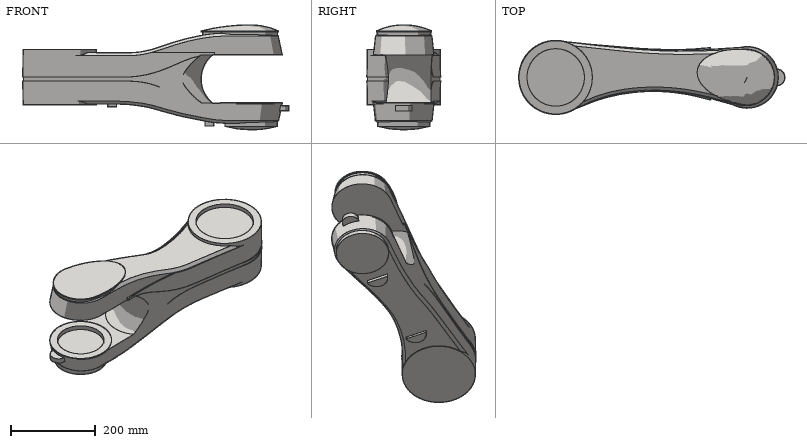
import cadquery as cq
import math


PIVOT_R = 87.8
PIVOT_END_R = 86.7
PIVOT_TOP = 70.0
PIVOT_BOTTOM = -61.0
SEAM_GAP = 4.5
SEAM_DEPTH = 1.8
PIVOT_RECESS_R = 68.0
RECESS_DEPTH = 10.0

ARM_SKIN = 1.0
HEAD_X = 453.0
HEAD_BASE_R = 78.0
HEAD_BASE_SHIFT = 8.0
HEAD_TIP_R = 64.5
HEAD_TIP_SHIFT = -5.0
ARM_DRAFT = 6.0
DRAFT_HEIGHT = 125.0
BACK_LEAVE_ANGLE = 83.0
FRONT_LEAVE_ANGLE = -67.0
BACK_JOIN_ANGLE = 92.0
FRONT_JOIN_ANGLE = -105.0
BACK_WAIST = [(165, 71.5), (300, 66)]
FRONT_WAIST = [(93, -56), (215, -33.5), (320, -42)]

UPPER_DECK = 62.6
UPPER_RISE = [(165, UPPER_DECK), (264, 85.4), (333, 103), (410, 109)]
LOWER_RISE = [(125, -59.0), (207, -66.4), (276, -85.4), (333, -97.5), (410, -105)]
EDGE_CHAMFER = 7.0

LEDGE_END_X = 366.0

FORK_HALF = 57.0
NOSE_X = 283.5
NOSE_Y = 15.0
NOSE_R = 51.5
NOSE_FLARE = 27.0

WEB_CURVE = [(150, SEAM_GAP), (242, 21), (287, 40), (345, FORK_HALF)]

CAP_R = 65.0
CAP_LENGTH = 119.0
CAP_TILT = 8.0
CAP_RIM_TOP = 114.0
CAP_STEP = 111.0
CAP_SINK = 100.0
CAP_INSET = 2.0
CAP_TOP = 128.48

RING_R = 73.0
RING_HEIGHT = 2.0
HEAD_RECESS_R = 55.0
COVER_R = 62.0
COVER_EDGE = -112.0
COVER_BOTTOM = -120.5
COVER_ROOT = -77.0

PAD_LENGTH = 21.4
PAD_HALF_WIDTH = 26.0
PADS = [(134.8, -65.5), (364.7, -111.5)]
PAD_ROOT = 20.0
TAB_TIP_X = 542.43
TAB_R = 20.0
TAB_TOP = -62.7
TAB_HEIGHT = 12.5

BIG = 700.0


def on_circle(x, radius, degrees):
    angle = math.radians(degrees)
    return (x + radius * math.cos(angle), radius * math.sin(angle))


def clockwise(degrees):
    """Direction of clockwise travel on a circle at the given angle."""
    angle = math.radians(degrees)
    return (math.sin(angle), -math.cos(angle))


def outline(level, pivot_r, head_x, head_r, inset):
    """Closed plan outline of an arm; inset narrows the waist."""
    back = [on_circle(0, pivot_r, BACK_LEAVE_ANGLE)]
    back += [(x, y - inset) for x, y in BACK_WAIST]
    back += [on_circle(head_x, head_r, BACK_JOIN_ANGLE)]
    front = [on_circle(head_x, head_r, FRONT_JOIN_ANGLE)]
    front += [(x, y + inset) for x, y in reversed(FRONT_WAIST)]
    front += [on_circle(0, pivot_r, FRONT_LEAVE_ANGLE)]
    back_ends = [clockwise(BACK_LEAVE_ANGLE), clockwise(BACK_JOIN_ANGLE)]
    front_ends = [clockwise(FRONT_JOIN_ANGLE), clockwise(FRONT_LEAVE_ANGLE)]
    return (
        cq.Workplane("XY", origin=(0, 0, level))
        .moveTo(*back[0])
        .spline(back[1:], tangents=back_ends, includeCurrent=True)
        .threePointArc((head_x + head_r, 0), front[0])
        .spline(front[1:], tangents=front_ends, includeCurrent=True)
        .threePointArc((-pivot_r, 0), back[0])
        .close()
    )


def base_outline(inset=0.0):
    return outline(0, PIVOT_R - ARM_SKIN - inset, HEAD_X + HEAD_BASE_SHIFT, HEAD_BASE_R, inset)


def drafted_column(direction):
    """Arm column leaning inwards away from the seam; direction is +1 or -1."""
    base = base_outline().wires().val()
    tip = outline(
        direction * DRAFT_HEIGHT,
        PIVOT_END_R - ARM_SKIN,
        HEAD_X + HEAD_TIP_SHIFT,
        HEAD_TIP_R,
        ARM_DRAFT,
    ).wires().val()
    return cq.Workplane(cq.Solid.makeLoft([base, tip], True))


def side_prism(rise, drop=0.0):
    """Everything between the seam and an arm's outer face."""
    points = [(x, z - drop) for x, z in rise]
    return (
        cq.Workplane("XZ", origin=(0, BIG / 2, 0))
        .moveTo(-BIG, 0)
        .lineTo(-BIG, points[0][1])
        .lineTo(*points[0])
        .spline(points[1:], tangents=[(1, 0), (1, 0)], includeCurrent=True)
        .lineTo(BIG, points[-1][1])
        .lineTo(BIG, 0)
        .close()
        .extrude(BIG)
    )


def disc(x, radius, bottom, top):
    return cq.Workplane("XY", origin=(x, 0, bottom)).circle(radius).extrude(top - bottom)


def ball_radius(radius, height):
    """Radius of the ball whose cap has this base radius and height."""
    return (radius**2 + height**2) / (2 * height)


def dome(radius, height):
    """Spherical cap standing on Z = 0."""
    return (
        cq.Workplane("XZ")
        .lineTo(radius, 0)
        .radiusArc((0, height), -ball_radius(radius, height))
        .close()
        .revolve(360, (0, 0, 0), (0, 1, 0))
    )


def arm(rise, direction, last_chamfer_x):
    """One arm, chamfered along the outer edges that end before the given X."""
    body = drafted_column(direction).intersect(side_prism(rise))
    deck = abs(rise[0][1])
    outer_edges = [
        edge
        for edge in body.edges().vals()
        if edge.geomType() == "BSPLINE"
        and direction * edge.Center().z > deck - 1
        and edge.BoundingBox().xmax < last_chamfer_x
    ]
    return body.newObject(outer_edges).chamfer(EDGE_CHAMFER)


def ledge():
    """Upright root of the upper arm, ending in a small step under the head."""
    root = base_outline().extrude(UPPER_DECK)
    front_part = cq.Workplane("XY").box(2 * LEDGE_END_X, BIG, BIG)
    return root.intersect(front_part).intersect(side_prism(UPPER_RISE, EDGE_CHAMFER))


def web_groove():
    """Shell that sets the web and the drum seam back from the outer walls."""
    upper_curve = WEB_CURVE
    lower_curve = [(x, -z) for x, z in reversed(WEB_CURVE)]
    zone = (
        cq.Workplane("XZ", origin=(0, BIG / 2, 0))
        .moveTo(-BIG, SEAM_GAP)
        .lineTo(*upper_curve[0])
        .spline(upper_curve[1:], tangents=[(1, 0), (1, 0.15)], includeCurrent=True)
        .lineTo(*lower_curve[0])
        .spline(lower_curve[1:], tangents=[(-1, 0.15), (-1, 0)], includeCurrent=True)
        .lineTo(-BIG, -SEAM_GAP)
        .close()
        .extrude(BIG)
    )
    core = base_outline(SEAM_DEPTH - ARM_SKIN).extrude(FORK_HALF, both=True)
    return zone.cut(core)


def fork_mouth():
    """Gap between the heads, leaving a waisted round nose on the web."""
    gap = (
        cq.Workplane("XY", origin=(0, 0, -FORK_HALF))
        .rect(BIG, BIG)
        .extrude(2 * FORK_HALF)
        .translate((NOSE_X - SEAM_DEPTH + BIG / 2, 0, 0))
    )
    nose = (
        cq.Workplane("XZ")
        .moveTo(0, -FORK_HALF)
        .lineTo(NOSE_R + NOSE_FLARE, -FORK_HALF)
        .threePointArc((NOSE_R, 0), (NOSE_R + NOSE_FLARE, FORK_HALF))
        .lineTo(0, FORK_HALF)
        .close()
        .revolve(360, (0, 0, 0), (0, 1, 0))
        .translate((NOSE_X, NOSE_Y, 0))
    )
    return gap.cut(nose)


def pivot_drum():
    """Two slightly tapered drums separated by the seam groove."""
    return (
        cq.Workplane("XZ")
        .moveTo(0, PIVOT_BOTTOM)
        .lineTo(PIVOT_END_R, PIVOT_BOTTOM)
        .lineTo(PIVOT_R, -SEAM_GAP)
        .lineTo(PIVOT_R - SEAM_DEPTH, -SEAM_GAP)
        .lineTo(PIVOT_R - SEAM_DEPTH, SEAM_GAP)
        .lineTo(PIVOT_R, SEAM_GAP)
        .lineTo(PIVOT_END_R, PIVOT_TOP)
        .lineTo(0, PIVOT_TOP)
        .close()
        .revolve(360, (0, 0, 0), (0, 1, 0))
    )


def head_cap():
    """Egg-shaped cap: round at the tip, stretched towards the pivot."""
    height = CAP_TOP - CAP_RIM_TOP
    tip_half = (
        cq.Workplane("XZ")
        .moveTo(0, CAP_SINK)
        .lineTo(CAP_R - CAP_INSET, CAP_SINK)
        .lineTo(CAP_R - CAP_INSET, CAP_STEP)
        .lineTo(CAP_R, CAP_STEP)
        .lineTo(CAP_R, CAP_RIM_TOP)
        .radiusArc((0, CAP_TOP), -ball_radius(CAP_R, height))
        .close()
        .revolve(180, (0, 0, 0), (0, 1, 0))
        .rotate((0, 0, 0), (0, 0, 1), -90)
    )
    stretch = cq.Matrix([[CAP_LENGTH / CAP_R, 0, 0, 0], [0, 1, 0, 0], [0, 0, 1, 0]])
    long_half = cq.Workplane(tip_half.mirror("YZ").val().transformGeometry(stretch))
    egg = tip_half.union(long_half)
    return egg.rotate((0, 0, 0), (0, 0, 1), -CAP_TILT).translate((HEAD_X, 0, 0))


def head_cover():
    """Round domed cover under the lower head."""
    edge_to_bottom = COVER_EDGE - COVER_BOTTOM
    bulge = dome(COVER_R, edge_to_bottom).mirror("XY").translate((HEAD_X, 0, COVER_EDGE))
    return disc(HEAD_X, COVER_R, COVER_EDGE, COVER_ROOT).union(bulge)


def pad(straight_x, bottom):
    """Half-round pad with its straight side facing the tip."""
    return (
        cq.Workplane("XY", origin=(straight_x, 0, bottom))
        .moveTo(0, -PAD_HALF_WIDTH)
        .threePointArc((-PAD_LENGTH, 0), (0, PAD_HALF_WIDTH))
        .close()
        .extrude(PAD_ROOT)
    )


result = arm(UPPER_RISE, 1, HEAD_X - CAP_R / 2).union(ledge())
result = result.union(arm(LOWER_RISE, -1, BIG))
result = result.cut(web_groove()).cut(fork_mouth())
result = result.union(pivot_drum()).union(head_cap()).union(head_cover())
result = result.union(disc(HEAD_X, RING_R, -FORK_HALF - RING_HEIGHT, -FORK_HALF + RING_HEIGHT / 2))
result = result.union(disc(TAB_TIP_X - TAB_R, TAB_R, TAB_TOP - TAB_HEIGHT, TAB_TOP))
for straight_x, bottom in PADS:
    result = result.union(pad(straight_x, bottom))
result = result.cut(disc(0, PIVOT_RECESS_R, PIVOT_TOP - RECESS_DEPTH, PIVOT_TOP))
result = result.cut(disc(HEAD_X, HEAD_RECESS_R, -FORK_HALF - RECESS_DEPTH, FORK_HALF))